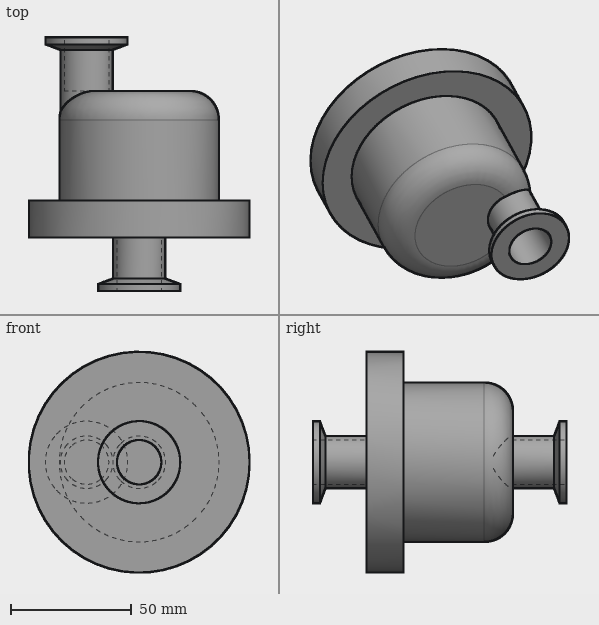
import cadquery as cq

total_length = 105.0

flange_diameter = 91.5
flange_thickness = 15.4
body_diameter = 66.0
body_length = 45.3
dome_radius = 12.0

nozzle_length = 22.2
tube_diameter = 21.7
bore_diameter = 18.4
ferrule_diameter = 34.0
ferrule_rim = 2.9
ferrule_cone = 2.3
rear_nozzle_x = -21.7
rear_tube_embed = dome_radius

flange_front = -total_length / 2 + nozzle_length
flange_back = flange_front + flange_thickness


def cylinder_y(diameter, start, length):
    """Cylinder on the Y axis running from start towards +Y."""
    return cq.Workplane("XZ", origin=(0, start, 0)).circle(diameter / 2).extrude(-length)


def nozzle(embed):
    """Tube with a clamp ferrule, its mouth at Y = 0 and running towards +Y."""
    end = nozzle_length + embed
    rim_radius = ferrule_diameter / 2
    tube_radius = tube_diameter / 2
    profile = [
        (0, 0),
        (rim_radius, 0),
        (rim_radius, ferrule_rim),
        (tube_radius, ferrule_rim + ferrule_cone),
        (tube_radius, end),
        (0, end),
    ]
    return cq.Workplane("XY").polyline(profile).close().revolve(360, (0, 0, 0), (0, 1, 0))


flange = cylinder_y(flange_diameter, flange_front, flange_thickness)
body = cylinder_y(body_diameter, flange_back, body_length)
body = body.faces(">Y").edges().fillet(dome_radius)

front_nozzle = nozzle(0).translate((0, -total_length / 2, 0))
rear_nozzle = nozzle(rear_tube_embed).rotate((0, 0, 0), (0, 0, 1), 180)
rear_nozzle = rear_nozzle.translate((rear_nozzle_x, total_length / 2, 0))

front_bore = cylinder_y(bore_diameter, -total_length / 2, nozzle_length)
rear_bore = cylinder_y(bore_diameter, total_length / 2 - nozzle_length, nozzle_length)
rear_bore = rear_bore.translate((rear_nozzle_x, 0, 0))

result = flange.union(body).union(front_nozzle).union(rear_nozzle)
result = result.cut(front_bore).cut(rear_bore)